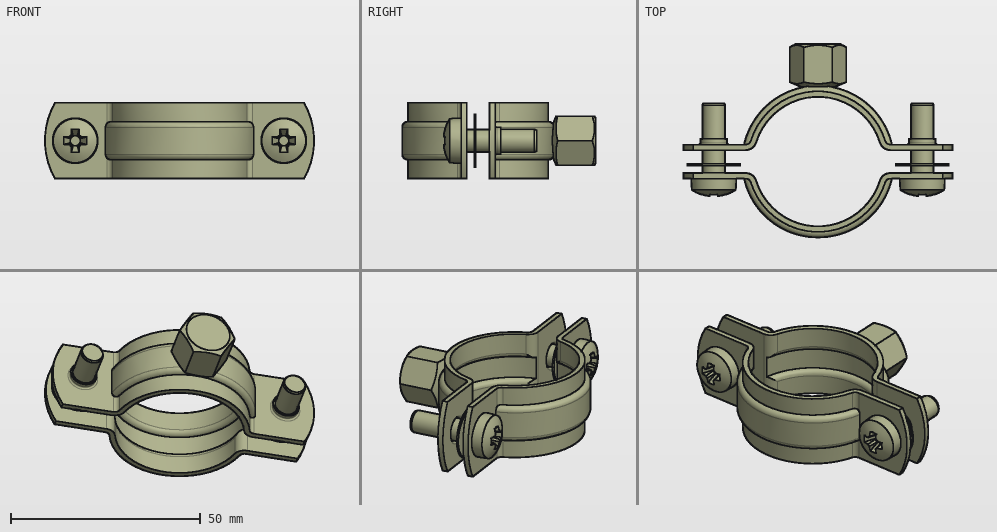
import cadquery as cq
import math

strip_thickness = 1.5
strip_width = 20.0
ring_outer_radius = 18.5
ring_inner_radius = ring_outer_radius - strip_thickness
ear_gap = 5.95
ear_inner_y = ear_gap / 2
ear_outer_y = ear_inner_y + strip_thickness
overall_length = 70.9
ear_end_radius = strip_width
bend_inside_radius = strip_thickness

bead_height = strip_thickness
bead_width = 10.1
groove_width = 9.0

nut_across_flats = 13.0
nut_end_y = 31.0
nut_base_y = 19.6
nut_face_radius = 5.9
nut_base_radius = 4.25
nut_base_chamfer = 1.35
nut_end_chamfer_slope = math.tan(math.radians(30))

screw_x = 27.45
shaft_diameter = 6.0
shaft_tip_diameter = 5.5
shaft_tip_length = 0.6
shaft_end_y = 15.4
collar_diameter = 7.0
collar_height = strip_thickness
collar_fillet = 0.5
clearance_diameter = 6.5
washer_diameter = 14.0
washer_thickness = 0.5
washer_start_y = -1.05
head_base_radius = 5.95
head_rim_radius = 5.8
head_side_bulge = 0.035
head_side_height = 3.0
head_dome_height = 1.8
head_tip_y = -ear_outer_y - head_side_height - head_dome_height

recess_depth = 3.2
recess_length = 6.5
recess_slot_width = 2.1
recess_floor_diameter = 2.7
recess_floor_slot_width = 1.1
recess_mouth_diameter = 3.7


def along_y(profile_radius_y):
    """Close a half outline given as (radius, y) and revolve it about the Y axis."""
    return profile_radius_y.close().revolve(360, (0, 0, 0), (0, 1, 0))


def cylinder_along_y(diameter, start_y, end_y):
    return cq.Workplane("XZ", origin=(0, start_y, 0)).circle(diameter / 2).extrude(start_y - end_y)


def bent_strip():
    """Upper half of the plain strip: an arch, two bends and two flat ears."""
    middle_radius = ring_outer_radius + bend_inside_radius
    bend_y = ear_outer_y + bend_inside_radius
    bend_x = math.sqrt(middle_radius**2 - bend_y**2)
    bend_outside_radius = bend_inside_radius + strip_thickness
    ring_angle = math.atan2(bend_y, bend_x)
    bend_middle_angle = (math.pi + ring_angle + 1.5 * math.pi) / 2

    def ring_point(radius):
        return radius * math.cos(ring_angle), radius * math.sin(ring_angle)

    def bend_middle(radius):
        x = bend_x + radius * math.cos(bend_middle_angle)
        y = bend_y + radius * math.sin(bend_middle_angle)
        return x, y

    def mirrored(point):
        return -point[0], point[1]

    ear_tip_x = overall_length / 2
    outer_start = ring_point(ring_outer_radius)
    inner_start = ring_point(ring_inner_radius)
    outer_middle = bend_middle(bend_inside_radius)
    inner_middle = bend_middle(bend_outside_radius)

    outline = (
        cq.Workplane("XY", origin=(0, 0, -strip_width / 2))
        .moveTo(ear_tip_x, ear_inner_y)
        .lineTo(ear_tip_x, ear_outer_y)
        .lineTo(bend_x, ear_outer_y)
        .threePointArc(outer_middle, outer_start)
        .threePointArc((0, ring_outer_radius), mirrored(outer_start))
        .threePointArc(mirrored(outer_middle), (-bend_x, ear_outer_y))
        .lineTo(-ear_tip_x, ear_outer_y)
        .lineTo(-ear_tip_x, ear_inner_y)
        .lineTo(-bend_x, ear_inner_y)
        .threePointArc(mirrored(inner_middle), mirrored(inner_start))
        .threePointArc((0, ring_inner_radius), inner_start)
        .threePointArc(inner_middle, (bend_x, ear_inner_y))
        .close()
    )
    strip = outline.extrude(strip_width)

    corner_x = ear_tip_x - ear_end_radius + math.sqrt(ear_end_radius**2 - (strip_width / 2)**2)
    ear_outline = (
        cq.Workplane("XZ")
        .moveTo(-corner_x, -strip_width / 2)
        .lineTo(corner_x, -strip_width / 2)
        .threePointArc((ear_tip_x, 0), (corner_x, strip_width / 2))
        .lineTo(-corner_x, strip_width / 2)
        .threePointArc((-ear_tip_x, 0), (-corner_x, -strip_width / 2))
        .close()
        .extrude(-ring_outer_radius)
    )
    return strip.intersect(ear_outline)


def rimmed_disc(width, side_radius, corner_radius, bulging):
    """Disc about Z with a quarter round along both rims.

    The flat sides reach side_radius and the outside is larger by corner_radius. The rims are
    convex if bulging, otherwise hollow and flush with the cylinder of side_radius.
    """
    half_width = width / 2
    half_flat = half_width - corner_radius
    flat_radius = side_radius + corner_radius
    diagonal = corner_radius * math.sqrt(0.5)
    if bulging:
        middle_radius, middle_z = side_radius + diagonal, half_flat + diagonal
    else:
        middle_radius, middle_z = flat_radius - diagonal, half_width - diagonal
    return (
        cq.Workplane("XZ")
        .moveTo(0, -half_width)
        .lineTo(side_radius, -half_width)
        .threePointArc((middle_radius, -middle_z), (flat_radius, -half_flat))
        .lineTo(flat_radius, half_flat)
        .threePointArc((middle_radius, middle_z), (side_radius, half_width))
        .lineTo(0, half_width)
        .close()
        .revolve(360, (0, 0, 0), (0, 1, 0))
    )


def beyond(y):
    """Block covering the ring on the +Y side of the given y."""
    size = overall_length
    return cq.Workplane("XY").box(size, size, size, centered=(True, False, True)).translate((0, y, 0))


def clamp_half():
    """Upper clamp half: the bent strip with the bead pressed out of its arch."""
    bead_bore_radius = ring_inner_radius + strip_thickness / 2
    bead_bore = cq.Workplane("XY").circle(bead_bore_radius).extrude(strip_width, both=True)
    bead = rimmed_disc(bead_width, ring_outer_radius, bead_height, bulging=True)
    bead = bead.cut(bead_bore).intersect(beyond(ear_outer_y))
    groove = rimmed_disc(groove_width, ring_inner_radius, bead_height, bulging=False)
    return bent_strip().union(bead).cut(groove)


def connection_nut():
    """Hexagonal nut with corners on +X and -X, chamfered at both ends."""
    corner_radius = nut_across_flats / math.sqrt(3)
    length = nut_end_y - nut_base_y
    prism = (
        cq.Workplane("XZ", origin=(0, nut_base_y, 0))
        .polygon(6, 2 * corner_radius)
        .extrude(-length)
    )
    end_chamfer = (corner_radius - nut_face_radius) * nut_end_chamfer_slope
    turned = along_y(
        cq.Workplane("XY")
        .moveTo(0, nut_base_y)
        .lineTo(nut_base_radius, nut_base_y)
        .lineTo(corner_radius, nut_base_y + nut_base_chamfer)
        .lineTo(corner_radius, nut_end_y - end_chamfer)
        .lineTo(nut_face_radius, nut_end_y)
        .lineTo(0, nut_end_y)
    )
    return prism.intersect(turned)


def cross_recess():
    """Two crossing tapered slots and a tapered round centre, sunk from the head tip."""
    mouth_plane = cq.Workplane("XZ", origin=(0, head_tip_y, 0))
    center = (
        mouth_plane.circle(recess_mouth_diameter / 2)
        .workplane(offset=-recess_depth)
        .circle(recess_floor_diameter / 2)
        .loft()
    )
    slot = (
        mouth_plane.rect(recess_length, recess_slot_width)
        .workplane(offset=-recess_depth)
        .rect(recess_floor_diameter, recess_floor_slot_width)
        .loft()
    )
    return center.union(slot).union(slot.rotate((0, 0, 0), (0, 1, 0), 90))


def screw():
    """Screw along +Y with a domed head bearing on the -Y ear."""
    bearing_y = -ear_outer_y
    rim_y = bearing_y - head_side_height
    dome_radius = (head_rim_radius**2 + head_dome_height**2) / (2 * head_dome_height)
    dome_middle_radius = head_rim_radius / 2
    dome_middle_y = head_tip_y + dome_radius - math.sqrt(dome_radius**2 - dome_middle_radius**2)
    side_middle_radius = (head_base_radius + head_rim_radius) / 2 + head_side_bulge
    shaft_radius = shaft_diameter / 2
    body = along_y(
        cq.Workplane("XY")
        .moveTo(0, head_tip_y)
        .threePointArc((dome_middle_radius, dome_middle_y), (head_rim_radius, rim_y))
        .threePointArc((side_middle_radius, (rim_y + bearing_y) / 2), (head_base_radius, bearing_y))
        .lineTo(shaft_radius, bearing_y)
        .lineTo(shaft_radius, shaft_end_y - shaft_tip_length)
        .lineTo(shaft_tip_diameter / 2, shaft_end_y)
        .lineTo(0, shaft_end_y)
    )
    return body.cut(cross_recess())


def fillet_middle(radius, y, fillet):
    """Middle of a quarter round that ends at the given radius and at the given y."""
    offset = fillet * (1 - math.sqrt(0.5))
    return radius + offset, y + offset


def ear_collar():
    """Collar on the outside of the +Y ear, with a rounded foot."""
    radius = collar_diameter / 2
    top_y = ear_outer_y + collar_height
    return along_y(
        cq.Workplane("XY")
        .moveTo(0, ear_inner_y)
        .lineTo(radius + collar_fillet, ear_inner_y)
        .lineTo(radius + collar_fillet, ear_outer_y)
        .threePointArc(
            fillet_middle(radius, ear_outer_y, collar_fillet),
            (radius, ear_outer_y + collar_fillet),
        )
        .lineTo(radius, top_y)
        .lineTo(0, top_y)
    )


def ear_clearance():
    """Bore through the +Y ear below its collar, with a rounded entry."""
    radius = clearance_diameter / 2
    return along_y(
        cq.Workplane("XY")
        .moveTo(0, ear_inner_y)
        .lineTo(radius + collar_fillet, ear_inner_y)
        .threePointArc(
            fillet_middle(radius, ear_inner_y, collar_fillet),
            (radius, ear_inner_y + collar_fillet),
        )
        .lineTo(radius, ear_outer_y)
        .lineTo(0, ear_outer_y)
    )


upper_half = clamp_half()
result = upper_half.union(upper_half.mirror("XZ")).union(connection_nut())

washer = cylinder_along_y(washer_diameter, washer_start_y, washer_start_y + washer_thickness)
fastener = screw().union(washer)
for side in (-1, 1):
    screw_position = (side * screw_x, 0, 0)
    result = (
        result.union(ear_collar().translate(screw_position))
        .cut(ear_clearance().translate(screw_position))
        .union(fastener.translate(screw_position))
    )